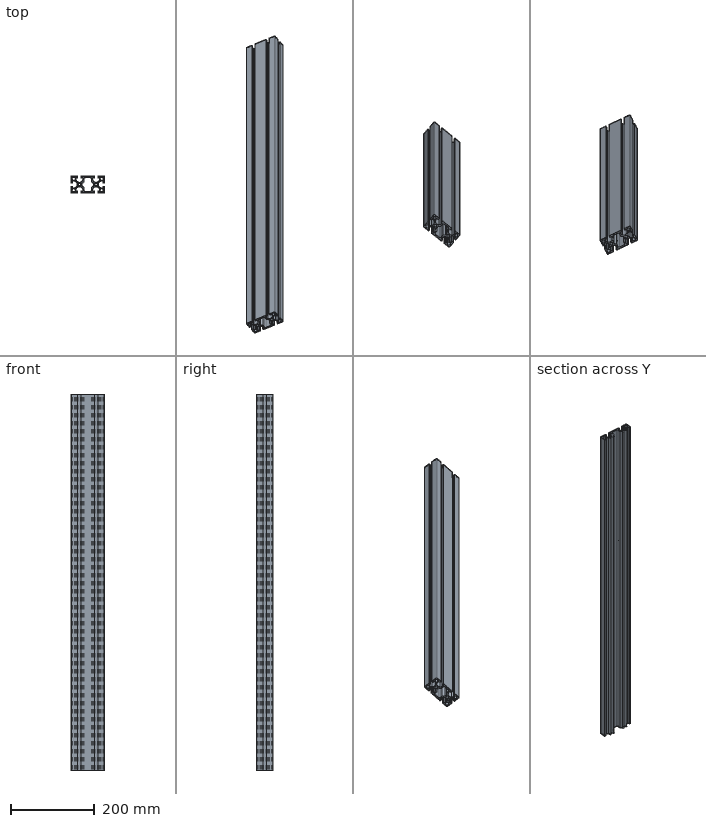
import cadquery as cq

cell = 40.0
width = 2 * cell
depth = cell
length = 900.0
corner_radius = 1.0

slot_opening = 8.25
lip_thickness = 4.1
slot_width = 16.5
slot_wall_height = 4.25
floor_width = 11.85
floor_edge_height = 7.35
floor_height = 5.25

core_bore = 6.3

hollow_diameter = 7.75
hollow_wall = 2.7

cavity_width = 17.8
cavity_depth = 32.75
cavity_radius = 2.9
cavity_wall_height = 13.2
core_flat_width = 5.05
core_flat_distance = 6.2

half_cell = cell / 2


def t_slot(core_x, angle):
    """T-slot cutter with a concave floor, turned about its core."""
    opening_x = slot_opening / 2
    wall_x = slot_width / 2
    floor_x = floor_width / 2
    mouth = half_cell - lip_thickness
    shoulder = mouth - slot_wall_height
    return (
        cq.Workplane("XY")
        .moveTo(opening_x, half_cell)
        .lineTo(opening_x, mouth)
        .lineTo(wall_x, mouth)
        .lineTo(wall_x, shoulder)
        .lineTo(floor_x, floor_edge_height)
        .threePointArc((0, floor_height), (-floor_x, floor_edge_height))
        .lineTo(-wall_x, shoulder)
        .lineTo(-wall_x, mouth)
        .lineTo(-opening_x, mouth)
        .lineTo(-opening_x, half_cell)
        .close()
        .extrude(length)
        .rotate((0, 0, 0), (0, 0, 1), angle)
        .translate((core_x, 0, 0))
    )


def core_bore_cutter(core_x):
    """Round bore along the core."""
    return cq.Workplane("XY").center(core_x, 0).circle(core_bore / 2).extrude(length)


def centre_cavity():
    """Hollow between the two cores, with its four outer corners rounded."""
    wall_x = cavity_width / 2
    core_x = half_cell - core_flat_distance
    upper_right = [
        (wall_x, cavity_depth / 2),
        (wall_x, cavity_wall_height / 2),
        (core_x, core_flat_width / 2),
    ]
    right_side = upper_right + [(x, -y) for x, y in reversed(upper_right)]
    left_side = [(-x, -y) for x, y in right_side]
    return (
        cq.Workplane("XY")
        .polyline(right_side + left_side)
        .close()
        .extrude(length)
        .edges("|Z and (>Y or <Y)")
        .fillet(cavity_radius)
    )


def corner_hollows():
    """Round hollows along the four outer corners."""
    inset = hollow_wall + hollow_diameter / 2
    return (
        cq.Workplane("XY")
        .rect(width - 2 * inset, depth - 2 * inset, forConstruction=True)
        .vertices()
        .circle(hollow_diameter / 2)
        .extrude(length)
    )


profile = cq.Workplane("XY").rect(width, depth).extrude(length).edges("|Z").fillet(corner_radius)
profile = profile.cut(centre_cavity()).cut(corner_hollows())
for side in (-1, 1):
    core_x = side * half_cell
    profile = profile.cut(core_bore_cutter(core_x))
    for angle in (0, 180, -90 * side):
        profile = profile.cut(t_slot(core_x, angle))

result = profile